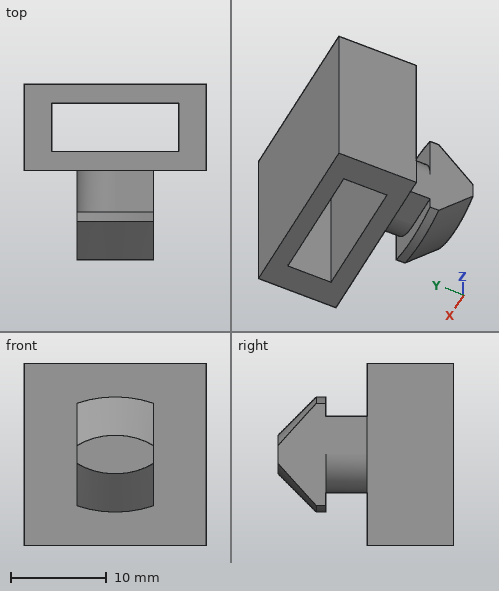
import cadquery as cq

block_side = 19.0
block_depth = 9.0
wall = 2.0
window_width = 13.2

stem_width = 8.0
stem_length = 4.3
head_rim = 1.0
head_taper = 3.99

rim_height = 12.0
rim_side_height = 10.68
tip_height = rim_height - 2 * head_taper
tip_side_height = 1.86


def front_plane(distance):
    """Plane facing -Y, the given distance in front of the block."""
    return cq.Plane(origin=(0, -distance, 0), xDir=(1, 0, 0), normal=(0, -1, 0))


def crowned_outline(sketch, height, side_height):
    """Draw a stem-wide outline with straight sides and arched ends."""
    half_width = stem_width / 2
    half_side = side_height / 2
    return (
        sketch.moveTo(-half_width, -half_side)
        .threePointArc((0, -height / 2), (half_width, -half_side))
        .lineTo(half_width, half_side)
        .threePointArc((0, height / 2), (-half_width, half_side))
        .close()
    )


def make_block():
    """Square block with a rectangular window running through it along Z."""
    window_depth = block_depth - 2 * wall
    block = cq.Workplane("XY").box(block_side, block_depth, block_side)
    window = cq.Workplane("XY").box(window_width, window_depth, block_side)
    return block.cut(window).translate((0, block_depth / 2, 0))


def make_stem():
    """Round stem with two opposite quarters squared off, as on a turn-lock."""
    radius = stem_width / 2
    stem = cq.Workplane(front_plane(0)).circle(radius).extrude(stem_length)
    for side in (-1, 1):
        corner = (
            cq.Workplane(front_plane(0))
            .center(side * radius / 2, side * radius / 2)
            .rect(radius, radius)
            .extrude(stem_length)
        )
        stem = stem.union(corner)
    return stem


def make_head():
    """Crowned rim followed by a taper down to a smaller crowned tip."""
    rim_sketch = cq.Workplane(front_plane(stem_length))
    rim = crowned_outline(rim_sketch, rim_height, rim_side_height).extrude(head_rim)
    taper_base = cq.Workplane(front_plane(stem_length + head_rim))
    taper_sketch = crowned_outline(taper_base, rim_height, rim_side_height).workplane(offset=head_taper)
    taper = crowned_outline(taper_sketch, tip_height, tip_side_height).loft(ruled=True)
    return rim.union(taper)


result = make_block().union(make_stem()).union(make_head())